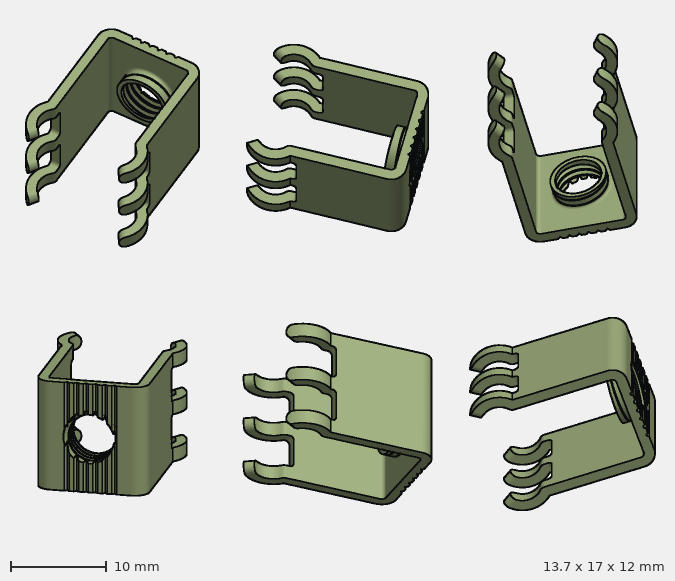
import cadquery as cq
import math

channel_width = 11.95
height = 11.95
depth = 17.02
sheet = 1.15
outer_bend_radius = 1.6
inner_bend_radius = outer_bend_radius - sheet
half_width = channel_width / 2
inner_half_width = half_width - sheet

span_over_fingers = 13.72
curl_outer_radius = 3.22
curl_inner_radius = curl_outer_radius - sheet
curl_x = span_over_fingers / 2 - curl_outer_radius
curl_y = -14.35
tip_angle = -math.asin((depth + curl_y) / curl_outer_radius)
elbow_radius = 0.68
finger_width = 1.55
finger_tip_radius = 0.75
finger_gap = (height - 3 * finger_width) / 2
gap_floor_y = -11.5
gap_corner_radius = 0.46
gap_overcut = 0.17

bore_diameter = 4.99
collar_diameter = 6.0
collar_end_y = -2.8
collar_root_fillet = 0.3

thread_pitch = 0.8
thread_depth = 0.45
thread_crest_flat = thread_pitch / 4
thread_root_flat = thread_pitch / 8
thread_start_inset = 0.35
thread_cutter_overlap = 0.05

groove_count = 6
groove_pitch = 1.02
groove_width = 0.51
groove_depth = 0.25


def curl_point(radius, angle):
    """Point on the right-hand curl at the given radius and angle from +X."""
    return (curl_x + radius * math.cos(angle), curl_y + radius * math.sin(angle))


def fillet_upright_edge(body, x, y, radius):
    """Round the vertical edge passing through (x, y)."""
    return body.edges(cq.NearestToPointSelector((x, y, 0))).fillet(radius)


def half_strip():
    """Right half of the bent strip, extruded over the full height."""
    outer_angle = math.acos((half_width - curl_x) / curl_outer_radius)
    inner_angle = math.acos((inner_half_width - curl_x) / curl_inner_radius)
    outer_corner = curl_point(curl_outer_radius, outer_angle)
    inner_corner = curl_point(curl_inner_radius, inner_angle)
    strip = (
        cq.Workplane("XY")
        .workplane(offset=-height / 2)
        .moveTo(0, 0)
        .lineTo(half_width, 0)
        .lineTo(*outer_corner)
        .threePointArc(curl_point(curl_outer_radius, 0), curl_point(curl_outer_radius, tip_angle))
        .lineTo(*curl_point(curl_inner_radius, tip_angle))
        .threePointArc(curl_point(curl_inner_radius, 0), inner_corner)
        .lineTo(inner_half_width, -sheet)
        .lineTo(0, -sheet)
        .close()
        .extrude(height)
    )
    strip = fillet_upright_edge(strip, half_width, 0, outer_bend_radius)
    strip = fillet_upright_edge(strip, inner_half_width, -sheet, inner_bend_radius)
    return fillet_upright_edge(strip, *inner_corner, elbow_radius)


def cut_finger_gaps(strip):
    """Cut the two gaps that leave three fingers, with rounded floor corners."""
    gap_length = depth + gap_floor_y
    for side in (-1, 1):
        gap = (
            cq.Workplane("XY")
            .box(span_over_fingers, gap_length + gap_overcut, finger_gap)
            .edges(">Y and |X")
            .fillet(gap_corner_radius)
            .translate((
                span_over_fingers / 2,
                gap_floor_y - (gap_length + gap_overcut) / 2,
                side * (finger_gap + finger_width) / 2,
            ))
        )
        strip = strip.cut(gap)
    return strip


def round_finger_tips(strip):
    """Round the upper and lower corners of each finger's end face."""
    tip_x, tip_y = curl_point((curl_outer_radius + curl_inner_radius) / 2, tip_angle)
    for level in (-1, 0, 1):
        finger_z = level * (finger_width + finger_gap)
        for side in (-1, 1):
            corner = (tip_x, tip_y, finger_z + side * finger_width / 2)
            strip = strip.edges(cq.NearestToPointSelector(corner)).fillet(finger_tip_radius)
    return strip


def add_collar(body):
    """Add the collar with its flared root and bore it through the back plate."""
    radius = collar_diameter / 2
    bore_radius = bore_diameter / 2
    root_y = -sheet - collar_root_fillet
    flare_centre = (radius + collar_root_fillet, root_y)
    flare_middle = (
        flare_centre[0] - collar_root_fillet * math.cos(math.pi / 4),
        flare_centre[1] + collar_root_fillet * math.sin(math.pi / 4),
    )
    collar = (
        cq.Workplane("XY")
        .moveTo(bore_radius, -sheet)
        .lineTo(bore_radius, collar_end_y)
        .lineTo(radius, collar_end_y)
        .lineTo(radius, root_y)
        .threePointArc(flare_middle, (flare_centre[0], -sheet))
        .close()
        .revolve(360, (0, 0), (0, 1))
    )
    bore = cq.Workplane("XZ").circle(bore_radius).extrude(sheet)
    return body.cut(bore).union(collar)


def thread_cutter():
    """Helical solid of trapezoidal section, winding from Z = 0 up the Z axis."""
    bore_radius = bore_diameter / 2
    root_radius = bore_radius + thread_depth
    mouth_half = (thread_pitch - thread_crest_flat) / 2
    root_half = thread_root_flat / 2
    flank_slope = (mouth_half - root_half) / thread_depth
    inner_radius = bore_radius - thread_cutter_overlap
    inner_half = mouth_half + flank_slope * thread_cutter_overlap
    section = [
        (inner_radius, -inner_half),
        (root_radius, -root_half),
        (root_radius, root_half),
        (inner_radius, inner_half),
    ]

    turns = math.ceil((-collar_end_y - thread_start_inset + mouth_half) / thread_pitch)
    helices = [
        cq.Wire.makeHelix(thread_pitch, turns * thread_pitch, radius).translate(cq.Vector(0, 0, z))
        for radius, z in section
    ]
    faces = []
    for start, end in zip(helices, helices[1:] + helices[:1]):
        faces.extend(cq.Face.makeRuledSurface(start, end).Faces())
    for position in (0, 1):
        corners = [helix.positionAt(position) for helix in helices]
        faces.append(cq.Face.makeFromWires(cq.Wire.makePolygon(corners, close=True)))
    return cq.Solid.makeSolid(cq.Shell.makeShell(faces))


def cut_thread(body):
    """Cut the thread from just inside the collar end out through the rear face."""
    cutter = (
        cq.Workplane(obj=thread_cutter())
        .rotate((0, 0, 0), (1, 0, 0), -90)
        .translate((0, collar_end_y + thread_start_inset, 0))
    )
    return body.cut(cutter)


def cut_grooves(body):
    """Cut the full-height V-grooves across the rear face."""
    first_x = -(groove_count - 1) * groove_pitch / 2
    for index in range(groove_count):
        x = first_x + index * groove_pitch
        groove = (
            cq.Workplane("XY")
            .workplane(offset=-height / 2)
            .polyline([(x - groove_width / 2, 0), (x, -groove_depth), (x + groove_width / 2, 0)])
            .close()
            .extrude(height)
        )
        body = body.cut(groove)
    return body


right_half = round_finger_tips(cut_finger_gaps(half_strip()))
clip = right_half.union(right_half.mirror("YZ"))
clip = cut_grooves(clip)
clip = add_collar(clip)
result = cut_thread(clip)